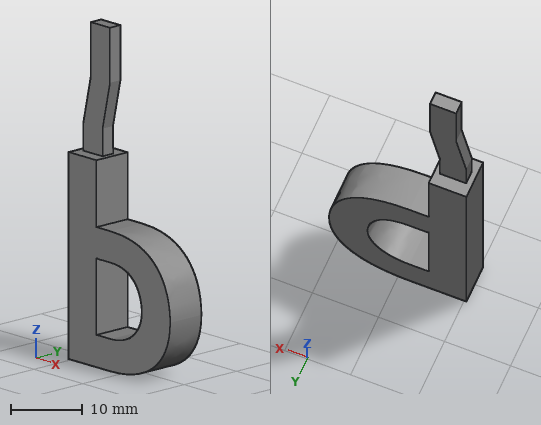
import cadquery as cq

total_height = 49
letter_depth = 6.0
stem_width = 5.75
stem_height = 30.05

bowl_right = 20.8
bowl_top = 20.35
bowl_widest_height = 9.6
flat_end = 8.6

opening_bottom = 4.7
opening_top = 15.77
opening_right = 15.0
opening_widest_height = 9.9

tab_width = 3.95
tab_depth = 2.0
tab_foot_height = 4.0
tab_bend_height = 6.95
tab_offset = 1.5

bowl_upper_pull_x = 18.9
bowl_upper_pull_z = 13.55
bowl_lower_pull_x = 17.0
bowl_lower_pull_z = 4.1
opening_upper_pull_x = 14.75
opening_upper_pull_z = 10.7
opening_lower_pull_x = 12.7
opening_lower_pull_z = 7.1


def extrude_centred(outline, depth):
    """Extrude an outline drawn in the XZ plane at Y = 0, then centre it on that plane."""
    return outline.extrude(depth).translate((0, depth / 2, 0))


def make_opening():
    """D-shaped opening through the bowl, straight along the stem."""
    upper_curve = [
        (flat_end, opening_top),
        (opening_upper_pull_x, opening_top),
        (opening_right, opening_upper_pull_z),
        (opening_right, opening_widest_height),
    ]
    lower_curve = [
        (opening_right, opening_widest_height),
        (opening_right, opening_lower_pull_z),
        (opening_lower_pull_x, opening_bottom),
        (flat_end, opening_bottom),
    ]
    outline = (
        cq.Workplane("XZ")
        .moveTo(stem_width, opening_top)
        .lineTo(flat_end, opening_top)
        .bezier(upper_curve)
        .bezier(lower_curve)
        .lineTo(stem_width, opening_bottom)
        .close()
    )
    return extrude_centred(outline, letter_depth)


def make_letter():
    """Letter b: tall square-cut stem with a rounded bowl and its opening."""
    upper_curve = [
        (flat_end, bowl_top),
        (bowl_upper_pull_x, bowl_top),
        (bowl_right, bowl_upper_pull_z),
        (bowl_right, bowl_widest_height),
    ]
    lower_curve = [
        (bowl_right, bowl_widest_height),
        (bowl_right, bowl_lower_pull_z),
        (bowl_lower_pull_x, 0),
        (flat_end, 0),
    ]
    outline = (
        cq.Workplane("XZ")
        .lineTo(0, stem_height)
        .lineTo(stem_width, stem_height)
        .lineTo(stem_width, bowl_top)
        .lineTo(flat_end, bowl_top)
        .bezier(upper_curve)
        .bezier(lower_curve)
        .close()
    )
    return extrude_centred(outline, letter_depth).cut(make_opening())


def make_tab_segment(bottom_left, top_left):
    """One straight stretch of the tab between two left-hand corners."""
    (bottom_x, bottom_z), (top_x, top_z) = bottom_left, top_left
    corners = [
        bottom_left,
        top_left,
        (top_x + tab_width, top_z),
        (bottom_x + tab_width, bottom_z),
    ]
    return extrude_centred(cq.Workplane("XZ").polyline(corners).close(), tab_depth)


def make_tab():
    """Foot, slanted bend and upright blade, joined with their seams kept."""
    foot_x = (stem_width - tab_width) / 2
    blade_x = foot_x + tab_offset
    bend_start = stem_height + tab_foot_height
    bend_end = bend_start + tab_bend_height
    foot = make_tab_segment((foot_x, stem_height), (foot_x, bend_start))
    bend = make_tab_segment((foot_x, bend_start), (blade_x, bend_end))
    blade = make_tab_segment((blade_x, bend_end), (blade_x, total_height))
    return foot.union(bend, clean=False).union(blade, clean=False)


letter = make_letter()
tab = make_tab()

result = cq.Compound.makeCompound([*letter.solids().vals(), *tab.solids().vals()])